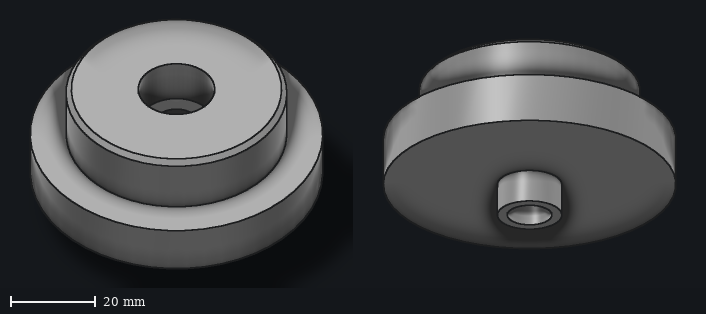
import cadquery as cq

spigot_height = 8.0
flange_height = 12.0
boss_height = 14.0

spigot_diameter = 15.2
flange_diameter = 69.0
boss_diameter = 52.0
boss_chamfer = 1.25

bore_diameter = 10.5
counterbore_diameter = 18.0
counterbore_depth = 11.0

spigot = cq.Workplane("XY").circle(spigot_diameter / 2).extrude(spigot_height)
flange = spigot.faces(">Z").workplane().circle(flange_diameter / 2).extrude(flange_height)
body = flange.faces(">Z").workplane().circle(boss_diameter / 2).extrude(boss_height)

body = body.faces(">Z").edges().chamfer(boss_chamfer)

result = body.faces(">Z").workplane().cboreHole(bore_diameter, counterbore_diameter, counterbore_depth)